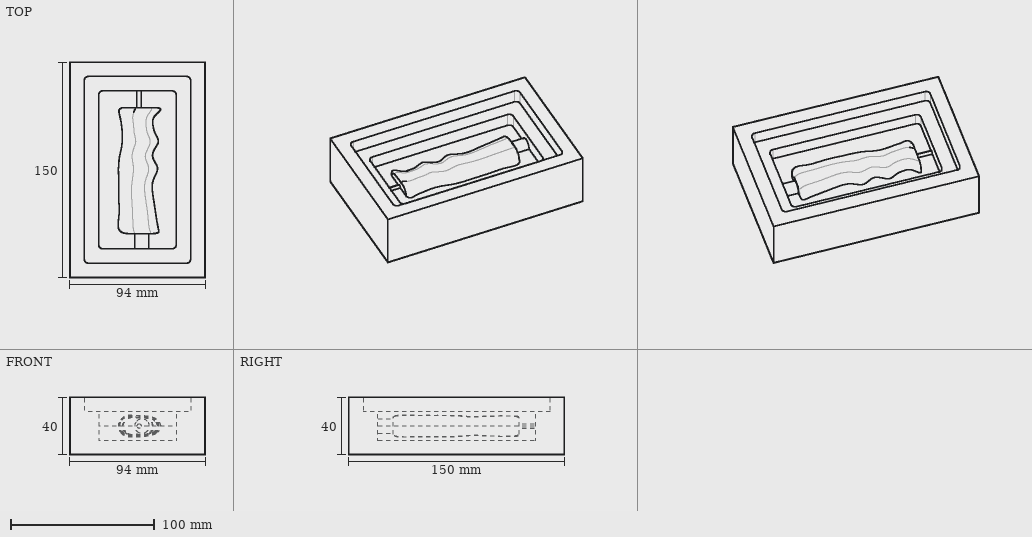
import cadquery as cq

BOX_WIDTH = 94.0
BOX_LENGTH = 150.0
BOX_HEIGHT = 40.0
STEP = BOX_HEIGHT / 4
CORNER_RADIUS = 3.0

UPPER_WIDTH = BOX_WIDTH - 2 * STEP
UPPER_LENGTH = BOX_LENGTH - 2 * STEP
LOWER_WIDTH = UPPER_WIDTH - 2 * STEP
LOWER_LENGTH = UPPER_LENGTH - 2 * STEP
PARTING_Z = BOX_HEIGHT / 2

THIN_ROD_DIAMETER = 3.0
THIN_ROD_X = 1.0
THICK_ROD_DIAMETER = 10.0
THICK_ROD_X = 3.0

GRIP_STATIONS = [
    (-44.4, -6.6, -2.1, 7.8, 11.1, 5.8),
    (-41.7, -12.8, -2.8, 8.4, 14.7, 7.2),
    (-32.7, -12.9, -3.5, 7.2, 13.0, 7.5),
    (-19.6, -13.0, -4.2, 5.4, 11.1, 7.5),
    (-6.8, -13.0, -3.8, 5.5, 11.1, 7.4),
    (1.4, -13.2, -2.8, 7.6, 14.0, 7.0),
    (9.5, -12.5, -3.9, 5.2, 10.5, 6.5),
    (14.0, -11.4, -3.2, 6.6, 11.7, 6.5),
    (20.1, -10.5, -1.4, 8.7, 14.5, 6.8),
    (25.6, -10.5, -2.4, 6.8, 12.2, 6.9),
    (30.9, -11.1, -2.8, 5.8, 10.8, 7.2),
    (36.8, -12.0, -3.5, 6.3, 11.5, 7.0),
    (41.2, -12.9, -2.1, 9.2, 15.8, 6.8),
    (43.4, -10.2, -1.8, 8.8, 13.5, 5.7),
]
SECTION_EXPONENT = 2.5
SIDE_POINT = 0.85
GRIP_FRONT_Y = GRIP_STATIONS[0][0]
GRIP_BACK_Y = GRIP_STATIONS[-1][0]


def make_box():
    upper_pocket = make_pocket_block(UPPER_WIDTH, UPPER_LENGTH, PARTING_Z + STEP, BOX_HEIGHT)
    lower_pocket = make_pocket_block(LOWER_WIDTH, LOWER_LENGTH, STEP, PARTING_Z + STEP)
    block = cq.Workplane("XY").rect(BOX_WIDTH, BOX_LENGTH).extrude(BOX_HEIGHT)
    return block.cut(upper_pocket).cut(lower_pocket)


def make_pocket_block(width, length, bottom_z, top_z):
    block = cq.Workplane("XY").workplane(offset=bottom_z).rect(width, length).extrude(top_z - bottom_z)
    return block.edges("|Z").fillet(CORNER_RADIUS)


def make_grip_section(y, left, left_seam, right_seam, right, half_thickness):
    """Closed superellipse outline, split into four curves at the seams."""
    center = (left + right) / 2
    half_width = (right - left) / 2

    def surface_point(x, side=1):
        offset = abs(x - center) / half_width
        height = half_thickness * (1 - offset**SECTION_EXPONENT) ** (1 / SECTION_EXPONENT)
        return cq.Vector(x, y, PARTING_Z + side * height)

    def face_curve(seam, outer_x):
        side_x = center + SIDE_POINT * (outer_x - center)
        upper = [surface_point(seam), surface_point(side_x)]
        lower = [surface_point(side_x, -1), surface_point(seam, -1)]
        return cq.Edge.makeSpline(upper + [cq.Vector(outer_x, y, PARTING_Z)] + lower)

    def flat_curve(side):
        middle = (left_seam + right_seam) / 2
        return cq.Edge.makeSpline([surface_point(x, side) for x in (left_seam, middle, right_seam)])

    return cq.Wire.assembleEdges(
        [flat_curve(1), face_curve(right_seam, right), flat_curve(-1), face_curve(left_seam, left)]
    )


def make_grip():
    sections = [make_grip_section(*station) for station in GRIP_STATIONS]
    return cq.Workplane(cq.Solid.makeLoft(sections))


def make_rod(diameter, x, start_y, end_y):
    axis_start = cq.Vector(x, start_y, PARTING_Z)
    rod = cq.Solid.makeCylinder(diameter / 2, end_y - start_y, axis_start, cq.Vector(0, 1, 0))
    return cq.Workplane(rod)


def make_bed(embedded_bodies):
    """Filling of the lower pocket, up to the parting plane, around the lower halves."""
    bed = make_pocket_block(LOWER_WIDTH, LOWER_LENGTH, STEP, PARTING_Z)
    for body in embedded_bodies:
        bed = bed.cut(body)
    return bed


box = make_box()
grip = make_grip()
thin_rod = make_rod(THIN_ROD_DIAMETER, THIN_ROD_X, GRIP_BACK_Y, LOWER_LENGTH / 2)
thick_rod = make_rod(THICK_ROD_DIAMETER, THICK_ROD_X, -LOWER_LENGTH / 2, GRIP_FRONT_Y)
bed = make_bed([grip, thin_rod, thick_rod])

result = cq.Compound.makeCompound(
    [box.solids().val(), bed.solids().val(), grip.val(), thin_rod.val(), thick_rod.val()]
)